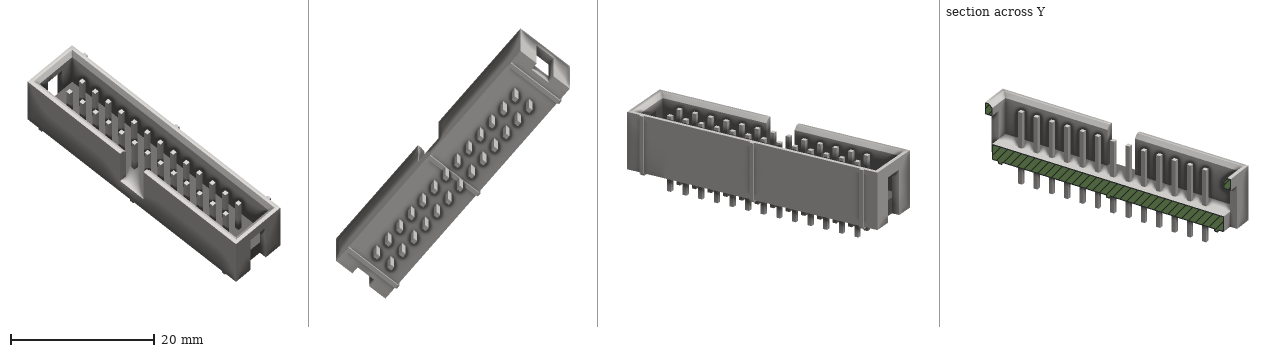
import cadquery as cq

housing_length = 40.68
housing_depth = 8.9
housing_height = 8.8
wall = 1.17
floor_top = 2.45
rim_chamfer = 0.6

notch_width = 4.56

end_slot_width = 3.05
end_slot_top = 6.97

rib_projection = 0.3
rib_width = 0.62
standoff_height = 0.35
outer_station = 17.88
stations = (-outer_station, 0, outer_station)

pins_per_row = 13
row_count = 2
pitch = 2.54
pin_size = 0.64
pin_bottom = -3.34
pin_top = housing_height - rim_chamfer


def box(x_size, y_size, z_low, z_high, x_mid=0, y_mid=0):
    """Upright block given by its plan size, plan centre and Z range."""
    return (
        cq.Workplane("XY")
        .box(x_size, y_size, z_high - z_low, centered=(True, True, False))
        .translate((x_mid, y_mid, z_low))
    )


def make_cavity():
    """Rectangular cavity with a flared lead-in at the rim."""
    inner_length = housing_length - 2 * wall
    inner_depth = housing_depth - 2 * wall
    lead_in = (
        cq.Workplane("XY", origin=(0, 0, housing_height - rim_chamfer))
        .rect(inner_length, inner_depth)
        .workplane(offset=rim_chamfer)
        .rect(inner_length + 2 * rim_chamfer, inner_depth + 2 * rim_chamfer)
        .loft(ruled=True)
    )
    return box(inner_length, inner_depth, floor_top, housing_height).union(lead_in)


def make_notch():
    """Slot running from the middle of the cavity out through the -Y wall."""
    half_depth = housing_depth / 2
    return box(notch_width, half_depth, floor_top, housing_height, y_mid=-half_depth / 2)


def make_end_slot(side):
    """Slot as deep as the end wall, on the -X (-1) or +X (+1) end."""
    x_mid = side * (housing_length - wall) / 2
    return box(wall, end_slot_width, 0, end_slot_top, x_mid=x_mid)


def make_housing():
    housing = box(housing_length, housing_depth, 0, housing_height)
    housing = housing.cut(make_cavity()).cut(make_notch())
    for side in (-1, 1):
        housing = housing.cut(make_end_slot(side))
    return housing


def add_ribs_and_standoffs(body):
    """Ribs up the +Y wall and full-depth standoff bars under the housing."""
    rib_depth = 2 * rib_projection
    rib_y = housing_depth / 2
    for x in stations:
        body = body.union(box(rib_width, rib_depth, 0, housing_height, x, rib_y))
        body = body.union(box(rib_width, housing_depth, -standoff_height, floor_top / 2, x))
    return body


def add_pins(body):
    """Two rows of square pins passing through the floor."""
    positions = cq.Workplane("XY", origin=(0, 0, pin_bottom)).rarray(
        pitch, pitch, pins_per_row, row_count
    )
    pins = positions.rect(pin_size, pin_size).extrude(pin_top - pin_bottom)
    return body.union(pins)


result = add_pins(add_ribs_and_standoffs(make_housing()))